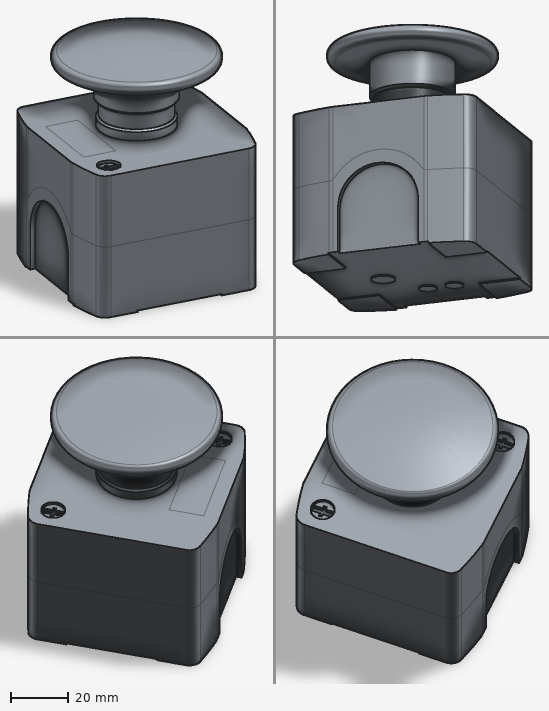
import cadquery as cq
import math

box_width = 68.0
box_height = 53.9
half_width = box_width / 2
bow_radius = 112.7
bow_start_x = 17.7
bow_blend_radius = 8.7
corner_radius = 4.4

entry_radius = 15.0
entry_center_z = 16.5
entry_depth = 2.0

seam_z = box_height / 2
seam_arch_radius = 19.95
seam_blend_radius = 1.7

screw_x = 25.5
screw_y = 23.4
screw_diameter = 8.4
screw_sink = 1.0
slot_width = 2.3
slot_depth = 1.5
cross_length = 4.5
cross_width = 1.0

label_length = 30.0
label_width = 12.5
label_front_y = -28.1
label_thickness = 0.4

relief_depth = 0.5
relief_size_x = 37.3
relief_size_y = 32.8
pads = [
    (-9.9, -15.3, 6.4),
    (0.0, -15.3, 6.4),
    (10.9, 0.0, 8.4),
]

position_tolerance = 0.1

button_gap = 1.0
button_bottom_z = box_height + button_gap
button_top_z = 86.7
ring_radius = 14.2
ring_height = 3.3
neck_radius = 13.4
neck_bottom_z = 59.05
collar_radius = 15.0
collar_bottom_z = 65.0
collar_chamfer = 0.9
cap_radius = 30.0
cap_bottom_z = 78.2
rim_radius = 2.6


def block(size_x, size_y, height, x=0.0, y=0.0, z=0.0):
    """Box centred on (x, y) that stands on height z."""
    return cq.Workplane("XY").box(size_x, size_y, height, centered=(True, True, False)).translate((x, y, z))


def cylinder(radius, height, x=0.0, y=0.0, z=0.0):
    return cq.Workplane("XY").circle(radius).extrude(height).translate((x, y, z))


def lies_at(coordinate, distance):
    """True when a coordinate is at the given distance from zero, on either side."""
    return math.isclose(abs(coordinate), distance, abs_tol=position_tolerance)


def make_shell():
    """Square block whose front and back walls bow inwards towards the corners."""
    bow_apex_y = half_width + bow_radius - math.sqrt(bow_radius**2 - bow_start_x**2)
    bow_center_y = bow_apex_y - bow_radius
    shell = block(box_width, box_width, box_height)
    for side in (-1, 1):
        shell = shell.intersect(cylinder(bow_radius, box_height, y=side * bow_center_y))

    corners = shell.edges("|Z").filter(lambda edge: lies_at(edge.Center().x, half_width))
    shell = corners.fillet(corner_radius)
    bow_starts = shell.edges("|Z").filter(lambda edge: lies_at(edge.Center().x, bow_start_x))
    return bow_starts.fillet(bow_blend_radius)


def make_entry(side):
    """Arched recess, open at the bottom, in the front (-1) or back (+1) wall."""
    arch = (
        cq.Workplane("XZ")
        .moveTo(-entry_radius, 0)
        .lineTo(-entry_radius, entry_center_z)
        .threePointArc((0, entry_center_z + entry_radius), (entry_radius, entry_center_z))
        .lineTo(entry_radius, 0)
        .close()
        .extrude(entry_depth, both=True)
    )
    return arch.translate((0, side * half_width, 0))


def make_screw_cutout(x, y):
    """Sink above the screw head plus the slot and short cross bar cut into the head."""
    head_z = box_height - screw_sink
    slot_z = head_z - slot_depth
    sink = cylinder(screw_diameter / 2, screw_sink, x, y, head_z)
    slot = block(slot_width, screw_diameter, slot_depth, x, y, slot_z)
    slot = slot.intersect(cylinder(screw_diameter / 2, slot_depth, x, y, slot_z))
    cross = block(cross_length, cross_width, slot_depth, x, y, slot_z)
    return sink.union(slot).union(cross)


def make_underside_relief():
    lengthwise = block(relief_size_x, box_width, relief_depth)
    crosswise = block(box_width, relief_size_y, relief_depth)
    relief = lengthwise.union(crosswise)
    for x, y, diameter in pads:
        relief = relief.cut(cylinder(diameter / 2, relief_depth, x, y))
    return relief


def make_lower_region():
    """Space below the seam: a flat level that blends into an arch over the entries."""
    level = block(box_width, box_width, seam_z)
    arch = (
        cq.Workplane("XZ")
        .center(0, entry_center_z)
        .circle(seam_arch_radius)
        .extrude(half_width, both=True)
        .intersect(block(box_width, box_width, box_height))
    )
    region = level.union(arch)
    arch_feet_x = math.sqrt(seam_arch_radius**2 - (seam_z - entry_center_z) ** 2)
    arch_feet = region.edges("|Y").filter(
        lambda edge: lies_at(edge.Center().z, seam_z) and lies_at(edge.Center().x, arch_feet_x)
    )
    return arch_feet.fillet(seam_blend_radius)


def mark_faces(body, region):
    """Split the faces of a body along the border of a region, keeping it one solid."""
    return body.cut(region).union(body.intersect(region), clean=False)


def make_housing():
    housing = make_shell()
    for side in (-1, 1):
        housing = housing.cut(make_entry(side))
    for side in (-1, 1):
        housing = housing.cut(make_screw_cutout(side * screw_x, -side * screw_y))
    housing = housing.cut(make_underside_relief())

    label_y = label_front_y + label_width / 2
    label = block(label_length, label_width, label_thickness, 0, label_y, box_height - label_thickness)
    housing = mark_faces(housing, make_lower_region())
    housing = housing.cut(label, clean=False).union(label, clean=False)
    return housing.solids()


def make_button():
    """Turned button: foot ring, neck, chamfered collar and domed cap with a round rim."""
    rim_center_r = cap_radius - rim_radius
    rim_center_z = cap_bottom_z + rim_radius

    crown_rise = button_top_z - rim_center_z - rim_radius
    dome_drop = (rim_center_r**2 - crown_rise**2) / (2 * crown_rise)
    dome_radius = dome_drop + crown_rise + rim_radius
    dome_center_z = button_top_z - dome_radius
    edge_angle = math.atan2(rim_center_r, dome_drop)
    mid_angle = edge_angle / 2
    dome_edge = (dome_radius * math.sin(edge_angle), dome_center_z + dome_radius * math.cos(edge_angle))
    dome_mid = (dome_radius * math.sin(mid_angle), dome_center_z + dome_radius * math.cos(mid_angle))

    profile = (
        cq.Workplane("YZ")
        .moveTo(0, button_bottom_z)
        .lineTo(ring_radius, button_bottom_z)
        .lineTo(ring_radius, button_bottom_z + ring_height)
        .lineTo(neck_radius, neck_bottom_z)
        .lineTo(neck_radius, collar_bottom_z)
        .lineTo(collar_radius - collar_chamfer, collar_bottom_z)
        .lineTo(collar_radius, collar_bottom_z + collar_chamfer)
        .lineTo(collar_radius, cap_bottom_z)
        .lineTo(rim_center_r, cap_bottom_z)
        .threePointArc((cap_radius, rim_center_z), dome_edge)
        .threePointArc(dome_mid, (0, button_top_z))
        .close()
    )
    return profile.revolve(360, (0, 0, 0), (0, 1, 0))


housing = make_housing()
button = make_button()
result = cq.Compound.makeCompound([housing.val(), button.val()])